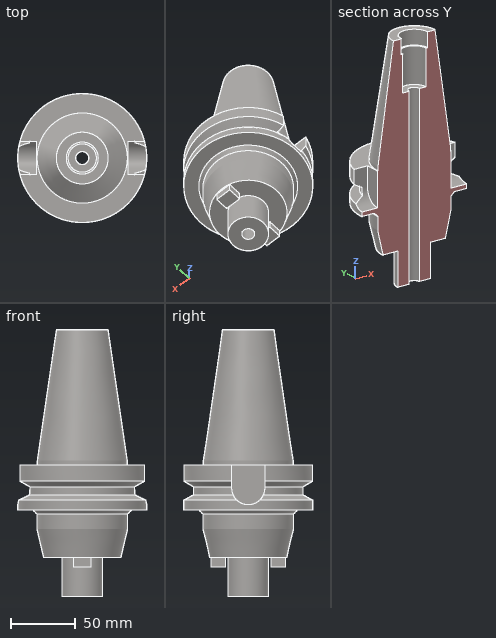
import cadquery as cq

total_height = 206.8
nose_bottom = 30.2
nose_cone_top = 52.1
collar_top = 64.0
flange_bottom = 67.0
groove_bottom = 74.7
groove_floor_bottom = 78.8
groove_floor_top = 85.0
groove_top = 89.3
flange_top = 102.0
gauge_line = 105.0

flange_radius = 100.0 / 2
groove_floor_radius = 42.5
collar_radius = 35.2
collar_flare_radius = collar_radius + flange_bottom - collar_top
gauge_radius = 35.0
taper_tip_radius = 20.0
nose_radius = 30.0
spigot_radius = 15.7

slot_width = 25.6
slot_bottom = 71.1
slot_floor_distance = 35.4

key_width = 13.5
key_height = 7.5
key_inner = 17.5
key_outer = 29.0

pilot_radius = 12.5
pilot_depth = 13.2
stud_radius = 11.0
stud_depth = 45.5
through_radius = 5.0


def make_body():
    """Revolve the spigot, nose, grooved flange and taper about Z."""
    profile = [
        (0, 0),
        (spigot_radius, 0),
        (spigot_radius, nose_bottom),
        (nose_radius, nose_bottom),
        (collar_radius, nose_cone_top),
        (collar_radius, collar_top),
        (collar_flare_radius, flange_bottom),
        (flange_radius, flange_bottom),
        (flange_radius, groove_bottom),
        (groove_floor_radius, groove_floor_bottom),
        (groove_floor_radius, groove_floor_top),
        (flange_radius, groove_top),
        (flange_radius, flange_top),
        (gauge_radius, flange_top),
        (gauge_radius, gauge_line),
        (taper_tip_radius, total_height),
        (0, total_height),
    ]
    return cq.Workplane("XZ").polyline(profile).close().revolve(360, (0, 0), (0, 1))


def make_drive_slot(side):
    """Round-bottomed slot, open at the flange top and rim; side is +1 or -1 along X."""
    half_width = slot_width / 2
    arc_height = slot_bottom + half_width
    slot_depth = flange_radius - slot_floor_distance
    return (
        cq.Workplane("YZ", origin=(side * slot_floor_distance, 0, 0))
        .moveTo(-half_width, flange_top)
        .lineTo(-half_width, arc_height)
        .threePointArc((0, slot_bottom), (half_width, arc_height))
        .lineTo(half_width, flange_top)
        .close()
        .extrude(side * slot_depth)
    )


def make_drive_key(side):
    """Rectangular key standing below the nose face; side is +1 or -1 along Y."""
    key_length = key_outer - key_inner
    key_center = side * (key_inner + key_outer) / 2
    return (
        cq.Workplane("XY", origin=(0, key_center, nose_bottom))
        .rect(key_width, key_length)
        .extrude(-key_height)
    )


def make_bore(radius, depth):
    """Round bore sunk from the small end of the taper."""
    return cq.Workplane("XY", origin=(0, 0, total_height)).circle(radius).extrude(-depth)


result = make_body()
for side in (-1, 1):
    result = result.cut(make_drive_slot(side))
    result = result.union(make_drive_key(side))

bores = (
    (pilot_radius, pilot_depth),
    (stud_radius, stud_depth),
    (through_radius, total_height),
)
for radius, depth in bores:
    result = result.cut(make_bore(radius, depth))